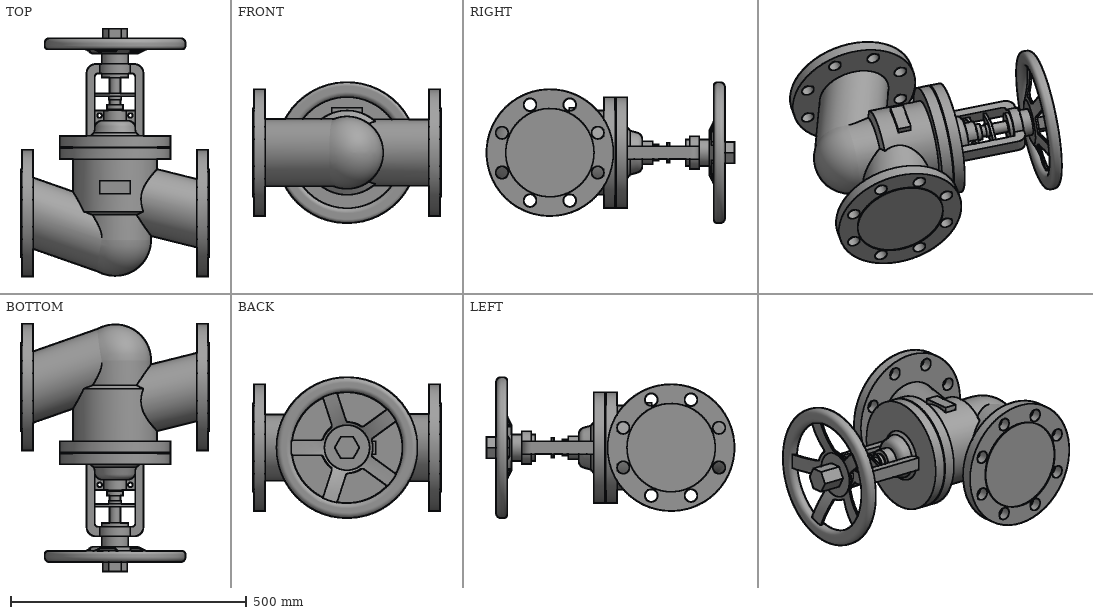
import cadquery as cq
import math


FACE_TO_FACE = 400.0
FLANGE_RADIUS = 135.0
FLANGE_THICKNESS = 24.0
RAISED_FACE_RADIUS = 94.0
RAISED_FACE_HEIGHT = 2.0
BOLT_CIRCLE_RADIUS = 110.0
BOLT_HOLE_RADIUS = 13.0
BOLT_COUNT = 8
FLANGE_OUTER_X = FACE_TO_FACE / 2 - RAISED_FACE_HEIGHT
FLANGE_INNER_X = FLANGE_OUTER_X - FLANGE_THICKNESS

INLET_RADIUS = 71.5
INLET_ANGLE = 19.3
OUTLET_RADIUS = 70.5
OUTLET_ANGLE = 14.0

BODY_RADIUS = 89.5
BODY_BOTTOM_Y = 3.5
BOWL_RADIUS = 77.0
BOWL_TOP_Y = -3.5
BOWL_CENTRE_Y = -56.5
COVER_FLANGE_RADIUS = 118.0
COVER_FLANGE_THICKNESS = 23.5
GASKET_RADIUS = 90.5
GASKET_THICKNESS = 2.0
BODY_FLANGE_BOTTOM_Y = 115.0
GASKET_BOTTOM_Y = BODY_FLANGE_BOTTOM_Y + COVER_FLANGE_THICKNESS
COVER_BOTTOM_Y = GASKET_BOTTOM_Y + GASKET_THICKNESS
COVER_TOP_Y = COVER_BOTTOM_Y + COVER_FLANGE_THICKNESS

NAME_PLATE_WIDTH = 64.0
NAME_PLATE_HEIGHT = 28.0
NAME_PLATE_BOTTOM_Y = 41.0
NAME_PLATE_TOP_Z = 95.5

DOME_FOOT_RADIUS = 53.5
DOME_WAIST_RADIUS = 47.0
DOME_SHOULDER_RADIUS = 42.5
DOME_CROWN_RADIUS = 28.0
DOME_WAIST_Y = 170.5
DOME_SHOULDER_Y = 185.5
DOME_TOP_Y = 196.5

HOUSING_RADIUS = 25.0
HOUSING_TOP_Y = 218.5
GLAND_NECK_RADIUS = 15.5
GLAND_BOTTOM_Y = 220.5
GLAND_RADIUS = 17.5
GLAND_TOP_Y = 231.0
SPINDLE_RADIUS = 12.0
COLLAR_RADIUS = 13.5
COLLAR_BOTTOM_Y = 241.5

INDICATOR_BOTTOM_Y = 248.0
INDICATOR_TOP_Y = 254.5
INDICATOR_RADIUS = 21.0
INDICATOR_END_WIDTH = 13.5

YOKE_OUTER_HALF_WIDTH = 60.5
YOKE_LEG_WIDTH = 18.0
YOKE_DEPTH = 27.5
YOKE_TOP_Y = 317.0
YOKE_BAR_HEIGHT = 20.5
YOKE_OUTER_CORNER = 20.0
YOKE_INNER_CORNER = 7.0
YOKE_RING_RADIUS = 35.5
YOKE_INNER_HALF_WIDTH = YOKE_OUTER_HALF_WIDTH - YOKE_LEG_WIDTH
YOKE_BAR_BOTTOM_Y = YOKE_TOP_Y - YOKE_BAR_HEIGHT

WEB_THICKNESS = 8.5
WEB_HOLE_RADIUS = 5.0
WEB_HOLE_X = 32.5
WEB_HOLE_Y = 207.5

BUSH_RADIUS = 28.5
BUSH_BOTTOM_Y = 288.0
NUT_ACROSS_CORNERS = 52.5
NUT_TOP_Y = 392.0

RIM_DIAMETER = 300.0
RIM_OUTER_RADIUS = RIM_DIAMETER / 2
RIM_INNER_RADIUS = 117.5
RIM_BOTTOM_Y = 347.5
RIM_TOP_Y = 372.0
RIM_LOWER_OUTER_ROUND = 8.0
RIM_ROUND = 11.0
HUB_BOTTOM_Y = 338.5
HUB_FACE_RADIUS = 48.0
HUB_RADIUS = 55.0
SHEET_THICKNESS = 4.0
DISH_RADIUS = 66.5
DISH_BOTTOM_Y = 347.5
SPOKE_END_Y = 362.5
SPOKE_COUNT = 5
SPOKE_WIDTH = 31.5
SPOKE_ROOT_ROUND = 5.5
SPOKE_END_RADIUS = RIM_INNER_RADIUS + 10.5


def cylinder_y(radius, bottom, top):
    """Cylinder on the spindle axis between two heights."""
    return cq.Workplane("XZ", origin=(0, bottom, 0)).circle(radius).extrude(bottom - top)


def revolve_y(profile):
    """Turn a closed (radius, height) profile about the spindle axis."""
    return profile.close().revolve(360, (0, 0, 0), (0, 1, 0))


def box_between(x_range, y_range, z_range):
    """Box spanning the three given ranges."""
    sizes = [high - low for low, high in (x_range, y_range, z_range)]
    corner = (x_range[0], y_range[0], z_range[0])
    return cq.Workplane("XY").box(*sizes, centered=False).translate(corner)


def pipe_flange(side):
    """Bolted end flange with a raised face; side is -1 or +1 along X."""
    plane = cq.Workplane("YZ", origin=(side * FLANGE_INNER_X, 0, 0))
    flange = plane.circle(FLANGE_RADIUS).extrude(side * FLANGE_THICKNESS)
    face = plane.circle(RAISED_FACE_RADIUS).extrude(side * (FLANGE_THICKNESS + RAISED_FACE_HEIGHT))
    holes = (
        plane.polarArray(BOLT_CIRCLE_RADIUS, 180 / BOLT_COUNT, 360, BOLT_COUNT)
        .circle(BOLT_HOLE_RADIUS)
        .extrude(side * FLANGE_THICKNESS)
    )
    return flange.union(face).cut(holes)


def sloping_pipe(side, radius, angle):
    """Pipe from the flange centre to the spindle axis, falling towards +X."""
    slope = math.radians(angle)
    axis = cq.Vector(-side * math.cos(slope), side * math.sin(slope), 0)
    inner_length = FLANGE_INNER_X / math.cos(slope)
    overrun = radius
    start = cq.Vector(side * FLANGE_INNER_X, 0, 0) - axis * overrun
    pipe = cq.Workplane(cq.Solid.makeCylinder(radius, inner_length + overrun, start, axis))
    trim_x = FLANGE_INNER_X + FLANGE_THICKNESS / 2
    trim = cq.Workplane("XY").box(2 * trim_x, 4 * FLANGE_RADIUS, 4 * radius)
    return pipe.intersect(trim)


def body():
    """Valve chamber with a tapered step, a round bowl, flanges and gasket."""
    bowl_bottom_y = BOWL_CENTRE_Y - BOWL_RADIUS
    bowl_arc = BOWL_RADIUS * math.sqrt(0.5)
    profile = (
        cq.Workplane("XY")
        .moveTo(0, bowl_bottom_y)
        .threePointArc((bowl_arc, BOWL_CENTRE_Y - bowl_arc), (BOWL_RADIUS, BOWL_CENTRE_Y))
        .lineTo(BOWL_RADIUS, BOWL_TOP_Y)
        .lineTo(BODY_RADIUS, BODY_BOTTOM_Y)
        .lineTo(BODY_RADIUS, BODY_FLANGE_BOTTOM_Y)
        .lineTo(COVER_FLANGE_RADIUS, BODY_FLANGE_BOTTOM_Y)
        .lineTo(COVER_FLANGE_RADIUS, GASKET_BOTTOM_Y)
        .lineTo(GASKET_RADIUS, GASKET_BOTTOM_Y)
        .lineTo(GASKET_RADIUS, COVER_BOTTOM_Y)
        .lineTo(COVER_FLANGE_RADIUS, COVER_BOTTOM_Y)
        .lineTo(COVER_FLANGE_RADIUS, COVER_TOP_Y)
        .lineTo(0, COVER_TOP_Y)
    )
    return revolve_y(profile)


def name_plate():
    """Raised rectangular pad on the +Z side of the body."""
    half_width = NAME_PLATE_WIDTH / 2
    return box_between(
        (-half_width, half_width),
        (NAME_PLATE_BOTTOM_Y, NAME_PLATE_BOTTOM_Y + NAME_PLATE_HEIGHT),
        (0, NAME_PLATE_TOP_Z),
    )


def bonnet_dome():
    """Dome with a flared foot on top of the cover flange."""
    profile = (
        cq.Workplane("XY")
        .moveTo(0, COVER_TOP_Y)
        .lineTo(DOME_FOOT_RADIUS, COVER_TOP_Y)
        .lineTo(DOME_WAIST_RADIUS, DOME_WAIST_Y)
        .lineTo(DOME_SHOULDER_RADIUS, DOME_SHOULDER_Y)
        .tangentArcPoint((DOME_CROWN_RADIUS, DOME_TOP_Y), relative=False)
        .lineTo(0, DOME_TOP_Y)
    )
    return revolve_y(profile)


def spindle_parts():
    """Packing housing, gland, spindle, collar and bush, all round."""
    return (
        cylinder_y(SPINDLE_RADIUS, COVER_TOP_Y, HUB_BOTTOM_Y)
        .union(cylinder_y(HOUSING_RADIUS, COVER_TOP_Y, HOUSING_TOP_Y))
        .union(cylinder_y(GLAND_NECK_RADIUS, HOUSING_TOP_Y, GLAND_BOTTOM_Y))
        .union(cylinder_y(GLAND_RADIUS, GLAND_BOTTOM_Y, GLAND_TOP_Y))
        .union(cylinder_y(COLLAR_RADIUS, COLLAR_BOTTOM_Y, INDICATOR_BOTTOM_Y))
        .union(cylinder_y(BUSH_RADIUS, BUSH_BOTTOM_Y, HUB_BOTTOM_Y))
    )


def travel_indicator():
    """Disc with arms that taper, tangent to the disc, out to the yoke legs."""
    end_x = YOKE_INNER_HALF_WIDTH
    end_z = INDICATOR_END_WIDTH / 2
    reach = math.hypot(end_x, end_z)
    tangent_angle = math.atan2(end_z, end_x) + math.acos(INDICATOR_RADIUS / reach)
    tangent_x = INDICATOR_RADIUS * math.cos(tangent_angle)
    tangent_z = INDICATOR_RADIUS * math.sin(tangent_angle)
    upper = [(-end_x, end_z), (-tangent_x, tangent_z), (tangent_x, tangent_z), (end_x, end_z)]
    lower = [(-x, -z) for x, z in upper]
    arms = (
        cq.Workplane("XZ", origin=(0, INDICATOR_BOTTOM_Y, 0))
        .polyline(upper + lower)
        .close()
        .extrude(INDICATOR_BOTTOM_Y - INDICATOR_TOP_Y)
    )
    return arms.union(cylinder_y(INDICATOR_RADIUS, INDICATOR_BOTTOM_Y, INDICATOR_TOP_Y))


def yoke():
    """Bridge of two legs and a top bar, with a ring round the bush."""
    half_depth = YOKE_DEPTH / 2
    depth_range = (-half_depth, half_depth)
    outer = box_between(
        (-YOKE_OUTER_HALF_WIDTH, YOKE_OUTER_HALF_WIDTH), (COVER_TOP_Y, YOKE_TOP_Y), depth_range
    )
    window = box_between(
        (-YOKE_INNER_HALF_WIDTH, YOKE_INNER_HALF_WIDTH), (COVER_TOP_Y, YOKE_BAR_BOTTOM_Y), depth_range
    )
    outer = outer.edges("|Z and >Y").fillet(YOKE_OUTER_CORNER)
    window = window.edges("|Z and >Y").fillet(YOKE_INNER_CORNER)
    ring = cylinder_y(YOKE_RING_RADIUS, YOKE_BAR_BOTTOM_Y, YOKE_TOP_Y)
    return outer.cut(window).union(ring)


def housing_webs():
    """Thin webs joining the packing housing to the legs, one hole each."""
    half_thickness = WEB_THICKNESS / 2
    web = box_between(
        (-YOKE_INNER_HALF_WIDTH, YOKE_INNER_HALF_WIDTH),
        (COVER_TOP_Y, HOUSING_TOP_Y),
        (-half_thickness, half_thickness),
    )
    holes = (
        cq.Workplane("XY", origin=(0, 0, -half_thickness))
        .pushPoints([(-WEB_HOLE_X, WEB_HOLE_Y), (WEB_HOLE_X, WEB_HOLE_Y)])
        .circle(WEB_HOLE_RADIUS)
        .extrude(WEB_THICKNESS)
    )
    return web.cut(holes)


def handwheel_rim():
    """Rounded rim ring."""
    rim = cylinder_y(RIM_OUTER_RADIUS, RIM_BOTTOM_Y, RIM_TOP_Y)
    rim = rim.edges("<Y").fillet(RIM_LOWER_OUTER_ROUND).edges(">Y").fillet(RIM_ROUND)
    bore = cylinder_y(RIM_INNER_RADIUS, RIM_BOTTOM_Y, RIM_TOP_Y)
    inner_edges = cq.selectors.RadiusNthSelector(0)
    rim = rim.cut(bore)
    rim = rim.faces("<Y").edges(inner_edges).fillet(RIM_ROUND)
    return rim.faces(">Y").edges(inner_edges).fillet(RIM_ROUND)


def handwheel_spider():
    """Dished sheet cut to a round hub and five evenly spaced spokes."""
    profile = (
        cq.Workplane("XY")
        .moveTo(0, HUB_BOTTOM_Y)
        .lineTo(HUB_FACE_RADIUS, HUB_BOTTOM_Y)
        .threePointArc((DISH_RADIUS, DISH_BOTTOM_Y), (SPOKE_END_RADIUS, SPOKE_END_Y))
        .lineTo(SPOKE_END_RADIUS, SPOKE_END_Y + SHEET_THICKNESS)
        .threePointArc(
            (DISH_RADIUS, DISH_BOTTOM_Y + SHEET_THICKNESS), (HUB_FACE_RADIUS, HUB_BOTTOM_Y + SHEET_THICKNESS)
        )
        .lineTo(0, HUB_BOTTOM_Y + SHEET_THICKNESS)
    )
    dish = revolve_y(profile)
    outline = cylinder_y(HUB_RADIUS, HUB_BOTTOM_Y, RIM_TOP_Y)
    for index in range(SPOKE_COUNT):
        spoke = box_between(
            (0, SPOKE_END_RADIUS), (HUB_BOTTOM_Y, RIM_TOP_Y), (-SPOKE_WIDTH / 2, SPOKE_WIDTH / 2)
        )
        angle = index * 360 / SPOKE_COUNT
        outline = outline.union(spoke.rotate((0, 0, 0), (0, 1, 0), angle))
    outline = outline.edges("|Y").fillet(SPOKE_ROOT_ROUND)
    return dish.intersect(outline)


def spindle_nut():
    """Hexagon through the handwheel, with two corners on the X direction."""
    hexagon = cq.Workplane("XZ", origin=(0, HUB_BOTTOM_Y, 0)).polygon(6, NUT_ACROSS_CORNERS)
    return hexagon.extrude(HUB_BOTTOM_Y - NUT_TOP_Y)


result = (
    body()
    .union(sloping_pipe(-1, INLET_RADIUS, INLET_ANGLE))
    .union(sloping_pipe(1, OUTLET_RADIUS, OUTLET_ANGLE))
    .union(pipe_flange(-1))
    .union(pipe_flange(1))
    .union(name_plate())
    .union(bonnet_dome())
    .union(spindle_parts())
    .union(travel_indicator())
    .union(yoke())
    .union(housing_webs())
    .union(handwheel_spider())
    .union(handwheel_rim())
    .union(spindle_nut())
)